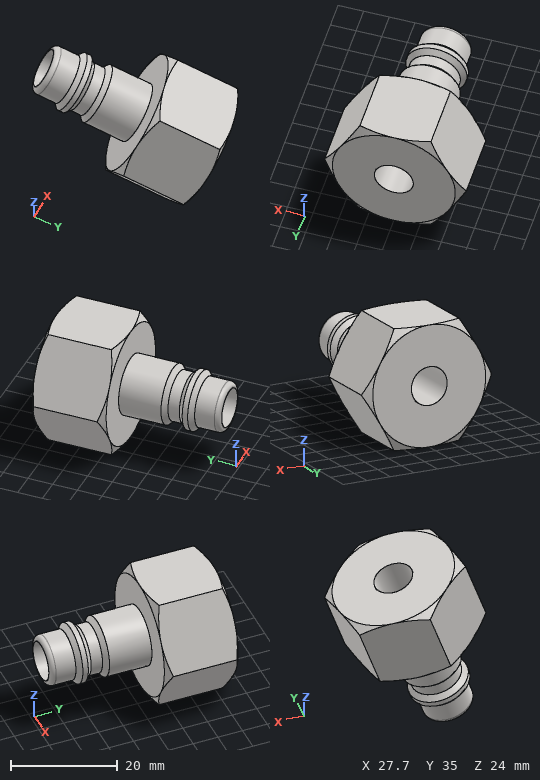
import cadquery as cq
import math

across_flats = 24.0
across_corners = across_flats / math.cos(math.pi / 6)
head_length = 15.0
corner_chamfer_angle = math.radians(30)

stem_length = 20.0
shoulder_radius = 6.0
neck_radius = 5.0
shoulder_end = 8.6
shoulder_bevel_length = 1.0
collar_start = 11.9
collar_bevel_length = 1.0
collar_land_length = 1.1
tip_rounding = 1.0

bore_diameter = 7.6

total_length = head_length + stem_length


def revolve_about_y(profile):
    """Close a profile of (radius, y) points and revolve it about the Y axis."""
    return profile.close().revolve(360, (0, 0, 0), (0, 1, 0))


def make_head():
    """Hexagon with corners on X, its corners turned down by a cone at both ends."""
    hexagon = (
        cq.Workplane("XZ")
        .polygon(6, across_corners)
        .extrude(-head_length)
    )
    flat_radius = across_flats / 2
    corner_radius = across_corners / 2
    chamfer_depth = (corner_radius - flat_radius) * math.tan(corner_chamfer_angle)
    turned_envelope = revolve_about_y(
        cq.Workplane("XY")
        .moveTo(0, 0)
        .lineTo(flat_radius, 0)
        .lineTo(corner_radius, chamfer_depth)
        .lineTo(corner_radius, head_length - chamfer_depth)
        .lineTo(flat_radius, head_length)
        .lineTo(0, head_length)
    )
    return hexagon.intersect(turned_envelope)


def make_stem():
    """Shoulder, neck, bevelled collar and rounded tip, running towards -Y."""
    shoulder_bevel_end = shoulder_end + shoulder_bevel_length
    land_start = collar_start + collar_bevel_length
    land_end = land_start + collar_land_length
    collar_end = land_end + collar_bevel_length
    rounding_centre_y = -stem_length + tip_rounding
    rounding_centre_radius = neck_radius - tip_rounding
    rounding_offset = tip_rounding * math.sqrt(0.5)
    return revolve_about_y(
        cq.Workplane("XY")
        .moveTo(0, 0)
        .lineTo(shoulder_radius, 0)
        .lineTo(shoulder_radius, -shoulder_end)
        .lineTo(neck_radius, -shoulder_bevel_end)
        .lineTo(neck_radius, -collar_start)
        .lineTo(shoulder_radius, -land_start)
        .lineTo(shoulder_radius, -land_end)
        .lineTo(neck_radius, -collar_end)
        .lineTo(neck_radius, rounding_centre_y)
        .threePointArc(
            (rounding_centre_radius + rounding_offset, rounding_centre_y - rounding_offset),
            (rounding_centre_radius, -stem_length),
        )
        .lineTo(0, -stem_length)
    )


def make_bore():
    """Cylinder along the full length of the part."""
    return (
        cq.Workplane("XZ", origin=(0, -stem_length, 0))
        .circle(bore_diameter / 2)
        .extrude(-total_length)
    )


result = make_head().union(make_stem()).cut(make_bore())